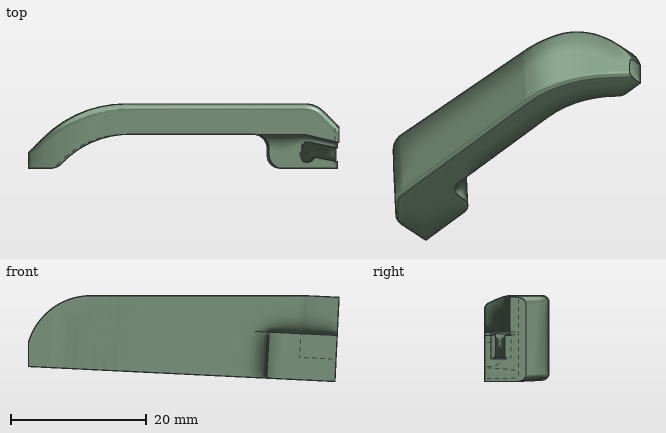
import cadquery as cq
import math

TOTAL_LENGTH = 45.8
TOTAL_HEIGHT = 12.68
TILT = 2.8
DEPTH = 9.5
WALL = 4.5
INNER_Y = DEPTH - WALL

CURVE_START = 14.3
BEND = 40.2
TIP_CURVE_START = 40.3

OUTER_RADIUS = 17.2
INNER_RADIUS = 13.5
BLEND_RADIUS = 2.0
NOSE_RADIUS = 9.65
NOSE_END = 9.25
NOSE_LOW_ANGLE = 195.0
NOSE_MIDDLE_ANGLE = 140.0

TIP_RADIUS = 3.8
RUN_OUT_ANGLE = 45.0
TIP_INNER_ANGLE = 13.5
EDGE_FILLET = 1.0

BLOCK_LEFT = 35.2
BLOCK_HEIGHT = 6.8
SLOT_CENTRE = (40.86, 1.88)
SLOT_ANGLE = 11.5
SLOT_WIDTH = 2.0
SLOT_BULB_RADIUS = 1.0
SLOT_CORNER_RADIUS = 0.8
SLOT_LIP_RADIUS = 0.6
SLOT_DEPTH = 3.5

tilt = math.radians(TILT)
run_out = math.radians(RUN_OUT_ANGLE)
MARGIN = 5.0
TRIM_SIZE = 4 * TOTAL_HEIGHT
OUTWARD = 0.5
UPRIGHT = 0.95


def solve_lengths():
    """Length of the underside, height of the left end, and bar height at the bend."""
    fixed = TOTAL_LENGTH - (TOTAL_HEIGHT + BEND * math.sin(tilt)) * math.tan(tilt)
    length = fixed / (math.cos(tilt) - math.sin(tilt) * math.tan(tilt))
    left_height = TOTAL_HEIGHT - length * math.sin(tilt)
    bend_height = (left_height + BEND * math.sin(tilt)) / math.cos(tilt)
    return length, left_height, bend_height


LENGTH, LEFT_HEIGHT, BEND_HEIGHT = solve_lengths()
TIP_INNER_Y = INNER_Y - (LENGTH - BEND) * math.tan(math.radians(TIP_INNER_ANGLE))


def tilted_plane(height=0.0):
    """Plane parallel to the underside, the given distance above it."""
    normal = (math.sin(tilt), 0, math.cos(tilt))
    origin = tuple(height * n for n in normal)
    return cq.Plane(origin=origin, xDir=(math.cos(tilt), 0, -math.sin(tilt)), normal=normal)


def to_side(along, height):
    """X and Z of a point given along and above the tilted underside."""
    x = along * math.cos(tilt) + height * math.sin(tilt)
    z = -along * math.sin(tilt) + height * math.cos(tilt)
    return x, z


def on_circle(centre, radius, angle):
    """Point on a circle; the angle is in radians from the first axis."""
    return centre[0] + radius * math.cos(angle), centre[1] + radius * math.sin(angle)


def bar_plan():
    """Bar outline in the underside plane, running past the left end, where it is trimmed."""
    up = math.radians(90)
    sweep = math.acos(1 - INNER_Y / (INNER_RADIUS + BLEND_RADIUS))
    front_end = CURVE_START - (INNER_RADIUS + BLEND_RADIUS) * math.sin(sweep)
    inner_centre = (CURVE_START, INNER_Y - INNER_RADIUS)
    blend_centre = (front_end, BLEND_RADIUS)
    outer_centre = (CURVE_START, DEPTH - OUTER_RADIUS)
    flat_start = on_circle(outer_centre, OUTER_RADIUS, up + run_out)
    tip_centre = (TIP_CURVE_START, DEPTH - TIP_RADIUS)
    tip_flat = on_circle(tip_centre, TIP_RADIUS, up - run_out)
    tip_outer_y = tip_flat[1] - (LENGTH - tip_flat[0]) * math.tan(run_out)
    front_start = flat_start[0] - flat_start[1] / math.tan(run_out)
    return (
        cq.Workplane(tilted_plane())
        .moveTo(front_start, 0)
        .lineTo(front_end, 0)
        .threePointArc(
            on_circle(blend_centre, BLEND_RADIUS, -up + sweep / 2),
            on_circle(blend_centre, BLEND_RADIUS, -up + sweep),
        )
        .threePointArc(
            on_circle(inner_centre, INNER_RADIUS, up + sweep / 2),
            (CURVE_START, INNER_Y),
        )
        .lineTo(BEND, INNER_Y)
        .lineTo(LENGTH, TIP_INNER_Y)
        .lineTo(LENGTH, tip_outer_y)
        .lineTo(*tip_flat)
        .threePointArc(
            on_circle(tip_centre, TIP_RADIUS, up - run_out / 2),
            (TIP_CURVE_START, DEPTH),
        )
        .lineTo(BEND, DEPTH)
        .lineTo(CURVE_START, DEPTH)
        .threePointArc(on_circle(outer_centre, OUTER_RADIUS, up + run_out / 2), flat_start)
        .close()
    )


def side_envelope():
    """Side outline swept across Y: round nose, level top, then a tilted top past the bend.

    The nose arc runs past the left end and curls under its own leftmost point.
    """
    nose_centre = (NOSE_END, LEFT_HEIGHT - NOSE_RADIUS)
    nose_low = on_circle(nose_centre, NOSE_RADIUS, math.radians(NOSE_LOW_ANGLE))
    nose_middle = on_circle(nose_centre, NOSE_RADIUS, math.radians(NOSE_MIDDLE_ANGLE))
    return (
        cq.Workplane("XZ")
        .moveTo(0, -TOTAL_HEIGHT)
        .lineTo(*nose_low)
        .threePointArc(nose_middle, (NOSE_END, LEFT_HEIGHT))
        .lineTo(*to_side(BEND, BEND_HEIGHT))
        .lineTo(*to_side(LENGTH + MARGIN, BEND_HEIGHT))
        .lineTo(LENGTH + MARGIN, -TOTAL_HEIGHT)
        .close()
        .extrude(-DEPTH)
    )


def long_outer_edges(body):
    """Upper and lower edges of the outer wall, leaving out its upright edges."""
    edges = []
    for face in body.faces().vals():
        if face.normalAt().y < OUTWARD:
            continue
        for edge in face.Edges():
            rise = (edge.endPoint() - edge.startPoint()).normalized().z
            if abs(rise) < UPRIGHT:
                edges.append(edge)
    return edges


def bar():
    """Tilted bar, with the outer wall's long edges rounded and the left end cut upright."""
    body = bar_plan().extrude(TOTAL_HEIGHT + MARGIN).intersect(side_envelope())
    rounded = body.newObject(long_outer_edges(body)).fillet(EDGE_FILLET)
    past_end = cq.Workplane("YZ").rect(TRIM_SIZE, TRIM_SIZE).extrude(-MARGIN)
    return rounded.cut(past_end)


def clip_block():
    """Block in front of the inner wall, blended into it and rounded at its front left corner."""
    radius = BLEND_RADIUS
    diagonal = math.sqrt(0.5) * radius
    wall_centre = (BLOCK_LEFT - radius, INNER_Y - radius)
    front_centre = (BLOCK_LEFT + radius, radius)
    return (
        cq.Workplane(tilted_plane())
        .moveTo(wall_centre[0], INNER_Y)
        .threePointArc(
            (wall_centre[0] + diagonal, wall_centre[1] + diagonal),
            (BLOCK_LEFT, wall_centre[1]),
        )
        .lineTo(BLOCK_LEFT, radius)
        .threePointArc(
            (front_centre[0] - diagonal, front_centre[1] - diagonal),
            (front_centre[0], 0),
        )
        .lineTo(LENGTH, 0)
        .lineTo(LENGTH, TIP_INNER_Y)
        .lineTo(BEND, INNER_Y)
        .close()
        .extrude(BLOCK_HEIGHT)
    )


def clip_slot():
    """Slot open at the right end, with a round bulb at its closed end and a rounded lip."""
    bulb = SLOT_BULB_RADIUS
    reach = LENGTH - SLOT_CENTRE[0] + MARGIN
    plane = tilted_plane(BLOCK_HEIGHT - SLOT_DEPTH)
    slot = (
        cq.Workplane(plane)
        .center(*SLOT_CENTRE)
        .transformed(rotate=(0, 0, -SLOT_ANGLE))
        .moveTo(-bulb, 0)
        .threePointArc((0, -bulb), (bulb, 0))
        .lineTo(reach, 0)
        .lineTo(reach, SLOT_WIDTH)
        .lineTo(-bulb, SLOT_WIDTH)
        .close()
        .extrude(SLOT_DEPTH)
    )
    uprights = slot.edges(cq.selectors.ParallelDirSelector(plane.zDir))
    from_left = uprights.sort(lambda edge: edge.Center().x)
    _, corner, lip, *_ = from_left.vals()
    slot = slot.newObject([corner]).fillet(SLOT_CORNER_RADIUS)
    return slot.newObject([lip]).fillet(SLOT_LIP_RADIUS)


result = bar().union(clip_block()).cut(clip_slot())